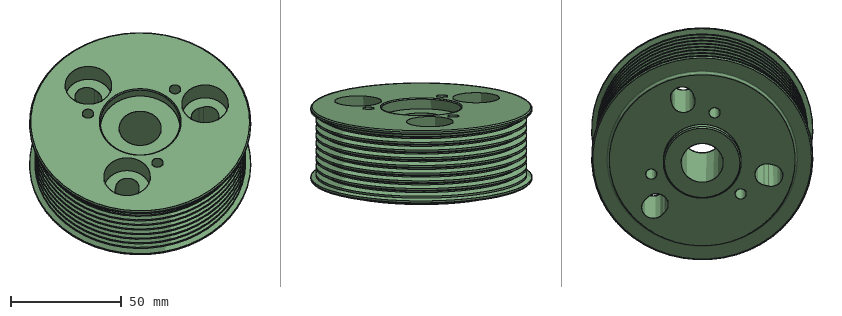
import cadquery as cq
import math

hub_height = 3
step_height = 2
body_height = 33.9
body_bottom = hub_height + step_height
body_top = body_bottom + body_height
body_middle = body_bottom + body_height / 2

flange_radius = 50
flange_edge_chamfer = 0.6
flange_width = 1.5
hub_radius = 35.2 / 2
hub_chamfer = 0.6
step_radius = 42
step_fillet = 1

groove_count = 8
track_width = 28.5
groove_pitch = track_width / groove_count
rib_radius = 47.7
root_radius = 44.7
rib_land = 0.9
root_land = 0.6

bore_diameter = 19
recess_diameter = 36
recess_depth = 5
recess_chamfer = 0.5

pattern_count = 3
seat_circle_radius = 31
seat_start_angle = 90
seat_diameter = 21
seat_depth = 10
slot_width = 10.6
slot_length = 12.6
pin_circle_radius = 24
pin_diameter = 5


def belt_track_points():
    """Profile points (radius, height) of the ribbed track, from bottom to top."""
    track_bottom = body_middle - track_width / 2
    track_top = body_middle + track_width / 2
    points = [(rib_radius, track_bottom - rib_land / 2)]
    for index in range(groove_count):
        groove_bottom = track_bottom + index * groove_pitch
        groove_top = groove_bottom + groove_pitch
        groove_middle = groove_bottom + groove_pitch / 2
        points += [
            (rib_radius, groove_bottom + rib_land / 2),
            (root_radius, groove_middle - root_land / 2),
            (root_radius, groove_middle + root_land / 2),
            (rib_radius, groove_top - rib_land / 2),
        ]
    points.append((rib_radius, track_top + rib_land / 2))
    return points


def turned_body():
    """Solid of revolution: hub, step, flanges and belt track."""
    flange_face_radius = flange_radius - flange_edge_chamfer
    fillet_center_radius = step_radius + step_fillet
    fillet_center_height = body_bottom - step_fillet
    fillet_middle = (
        fillet_center_radius - step_fillet * math.cos(math.radians(45)),
        fillet_center_height + step_fillet * math.sin(math.radians(45)),
    )
    hub_and_step = [
        (0, 0),
        (hub_radius - hub_chamfer, 0),
        (hub_radius, hub_chamfer),
        (hub_radius, hub_height),
        (step_radius, hub_height),
        (step_radius, fillet_center_height),
    ]
    rim = [
        (flange_face_radius, body_bottom),
        (flange_radius, body_bottom + flange_edge_chamfer),
        (flange_radius, body_bottom + flange_width),
        *belt_track_points(),
        (flange_radius, body_top - flange_width),
        (flange_radius, body_top - flange_edge_chamfer),
        (flange_face_radius, body_top),
        (0, body_top),
    ]
    return (
        cq.Workplane("XZ")
        .polyline(hub_and_step)
        .threePointArc(fillet_middle, (fillet_center_radius, body_bottom))
        .polyline(rim, includeCurrent=True)
        .close()
        .revolve(360, (0, 0), (0, 1))
    )


def center_cut():
    """Through bore and chamfered recess."""
    bore = cq.Workplane("XY").circle(bore_diameter / 2).extrude(body_top)
    recess = (
        cq.Workplane("XY", origin=(0, 0, body_top - recess_depth))
        .circle(recess_diameter / 2)
        .extrude(recess_depth)
    )
    mouth_chamfer = (
        cq.Workplane("XY", origin=(0, 0, body_top))
        .circle(recess_diameter / 2 + recess_chamfer)
        .extrude(-recess_chamfer, taper=45)
    )
    return bore.union(recess).union(mouth_chamfer)


def bolt_seats():
    """Round pockets with radial through slots in their floors."""
    slots = (
        cq.Workplane("XY")
        .polarArray(seat_circle_radius, seat_start_angle, 360, pattern_count)
        .slot2D(slot_length, slot_width)
        .extrude(body_top)
    )
    pockets = (
        cq.Workplane("XY", origin=(0, 0, body_top - seat_depth))
        .polarArray(seat_circle_radius, seat_start_angle, 360, pattern_count)
        .circle(seat_diameter / 2)
        .extrude(seat_depth)
    )
    return slots.union(pockets)


def pin_holes():
    """Small through holes spaced evenly around the axis."""
    return (
        cq.Workplane("XY")
        .polarArray(pin_circle_radius, 0, 360, pattern_count)
        .circle(pin_diameter / 2)
        .extrude(body_top)
    )


result = turned_body().cut(center_cut()).cut(bolt_seats()).cut(pin_holes())